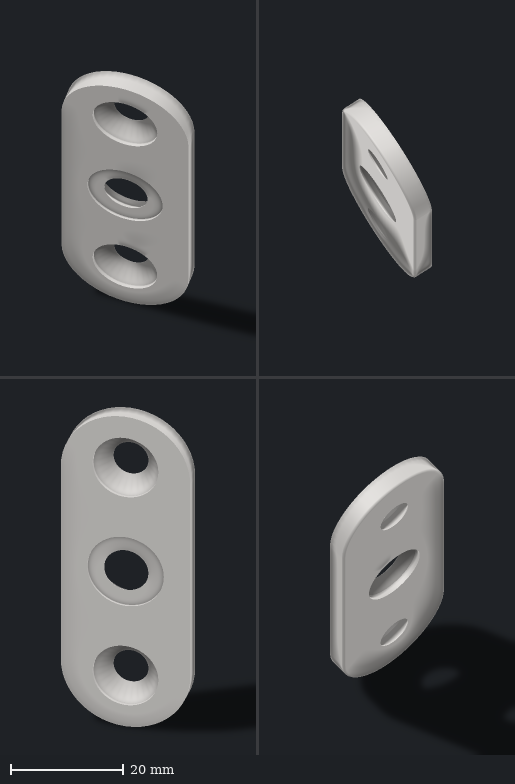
import cadquery as cq

WIDTH = 24.0
HEIGHT = 64.0
THICKNESS = 3.7
BACK_EDGE_RADIUS = 0.5

SCREW_SPACING = 43.0
SCREW_HOLE_DIAMETER = 6.5
SCREW_HEAD_DIAMETER = 12.2
SCREW_HEAD_RECESS = 0.7
COUNTERSINK_DEPTH = (SCREW_HEAD_DIAMETER - SCREW_HOLE_DIAMETER) / 2

CENTRE_HOLE_DIAMETER = 8.2
CENTRE_RECESS_DIAMETER = 14.2
CENTRE_RECESS_DEPTH = 0.5
CENTRE_LIP_LENGTH = 0.1
REAR_BORE_DIAMETER = 12.0
REAR_BORE_DEPTH = 1.2

FRONT_Y = -THICKNESS / 2
BACK_Y = THICKNESS / 2


def make_plate():
    """Round-ended plate with its back edge rounded over."""
    plate = (
        cq.Workplane("XZ", origin=(0, BACK_Y, 0))
        .slot2D(HEIGHT, WIDTH, 90)
        .extrude(THICKNESS)
    )
    return plate.faces(">Y").edges().fillet(BACK_EDGE_RADIUS)


def revolve_about_y(profile, z):
    """Turn a closed (radius, y) profile about the Y direction at height z."""
    return (
        cq.Workplane("XY")
        .polyline(profile)
        .close()
        .revolve(360, (0, 0, 0), (0, 1, 0))
        .translate((0, 0, z))
    )


def screw_hole_cutter(z):
    """Through hole with a conical countersink behind a short straight entry."""
    hole_radius = SCREW_HOLE_DIAMETER / 2
    head_radius = SCREW_HEAD_DIAMETER / 2
    cone_start = FRONT_Y + SCREW_HEAD_RECESS
    cone_end = cone_start + COUNTERSINK_DEPTH
    profile = [
        (0, FRONT_Y),
        (head_radius, FRONT_Y),
        (head_radius, cone_start),
        (hole_radius, cone_end),
        (hole_radius, BACK_Y),
        (0, BACK_Y),
    ]
    return revolve_about_y(profile, z)


def centre_hole_cutter():
    """Through hole with a shallow front recess, widening behind a thin lip to the rear bore."""
    hole_radius = CENTRE_HOLE_DIAMETER / 2
    recess_radius = CENTRE_RECESS_DIAMETER / 2
    rear_radius = REAR_BORE_DIAMETER / 2
    recess_floor = FRONT_Y + CENTRE_RECESS_DEPTH
    flare_start = recess_floor + CENTRE_LIP_LENGTH
    flare_end = BACK_Y - REAR_BORE_DEPTH
    profile = [
        (0, FRONT_Y),
        (recess_radius, FRONT_Y),
        (recess_radius, recess_floor),
        (hole_radius, recess_floor),
        (hole_radius, flare_start),
        (rear_radius, flare_end),
        (rear_radius, BACK_Y),
        (0, BACK_Y),
    ]
    return revolve_about_y(profile, 0)


result = make_plate().cut(centre_hole_cutter())
for side in (-1, 1):
    result = result.cut(screw_hole_cutter(side * SCREW_SPACING / 2))